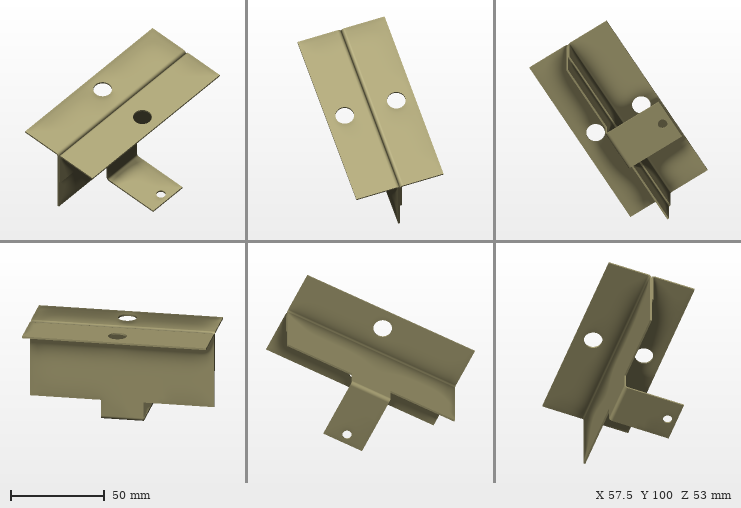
import cadquery as cq

thickness = 1.0
bend_inner = 1.0
bend_outer = bend_inner + thickness

length = 100.0
flange_reach = 24.5
short_web_depth = 22.0
long_web_depth = 42.0
total_height = 53.0
tab_width = 23.0
tab_reach = 33.0

flange_hole_diameter = 10.0
flange_hole_offset = 14.5
tab_hole_diameter = 5.0
tab_hole_edge_distance = 5.0


def angle_sheet(reach, depth, width):
    """Bent sheet with its web's outer face on X = 0 and its flange toward +X at Z = 0."""
    return (
        cq.Workplane("XZ")
        .moveTo(reach, 0)
        .lineTo(bend_outer, 0)
        .radiusArc((0, -bend_outer), -bend_outer)
        .lineTo(0, -depth)
        .lineTo(thickness, -depth)
        .lineTo(thickness, -bend_outer)
        .radiusArc((bend_outer, -thickness), bend_inner)
        .lineTo(reach, -thickness)
        .close()
        .extrude(width / 2, both=True)
    )


def hole_cutter(x, top_z, diameter):
    """Vertical cylinder through one sheet thickness."""
    return (
        cq.Workplane("XY", origin=(x, 0, top_z))
        .circle(diameter / 2)
        .extrude(-thickness)
    )


right_sheet = angle_sheet(flange_reach, short_web_depth, length)

left_sheet = angle_sheet(flange_reach, long_web_depth, length).mirror("YZ")

tab_drop = total_height - long_web_depth
tab = (
    angle_sheet(tab_reach + thickness, tab_drop, tab_width)
    .mirror("XY")
    .translate((-thickness, 0, -total_height))
)

result = right_sheet.union(left_sheet).union(tab)

for side in (-1, 1):
    result = result.cut(hole_cutter(side * flange_hole_offset, 0, flange_hole_diameter))

tab_hole_x = tab_reach - tab_hole_edge_distance
result = result.cut(hole_cutter(tab_hole_x, thickness - total_height, tab_hole_diameter))